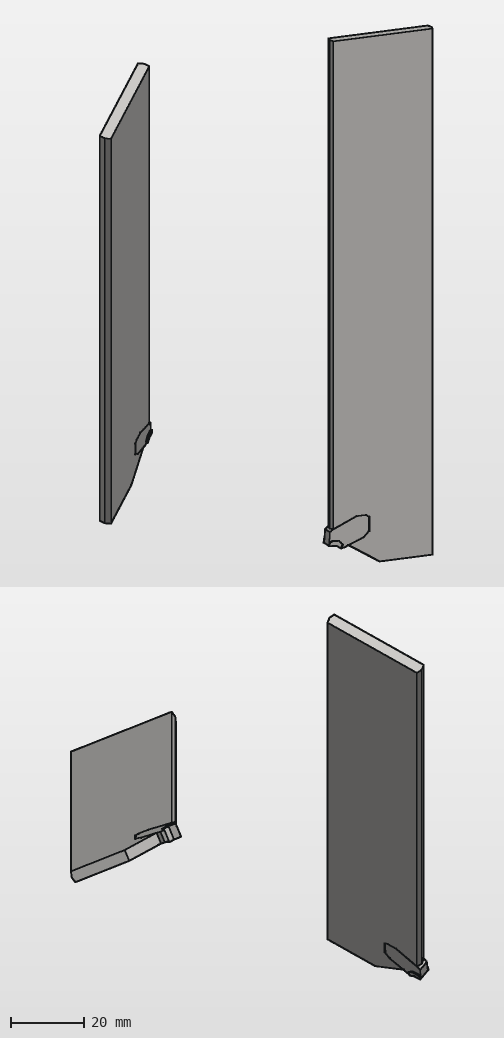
import cadquery as cq
import math

blade_length = 150.0
blade_width = 30.6
blade_thickness = 3.3
ridge_angle = 15.0
ridge_height = blade_thickness / 2 * math.tan(math.radians(ridge_angle))

relief_start = 16.4
relief_angle = 31.8
relief_rise = (blade_width - relief_start) * math.tan(math.radians(relief_angle))

tip = (31.5, 6.3)
heel = (28.0, 5.2)
belly = (26.8, 5.2)
chin = (29.4, 6.2)
insert_thickness = blade_thickness
head_thickness = 4.0
seat_gap = 0.3
insert_back = 19.6
back_bottom = 9.0
back_top = 13.2

insert_profile = [
    tip, (31.2, 10.2), (30.5, 10.8), (23.2, 13.8), (20.4, 13.8),
    (insert_back, back_top), (insert_back, back_bottom), (21.2, 7.5),
    (25.6, 5.8), belly, heel, chin,
]
head_profile = [
    tip, (31.4, 7.4), (30.5, 7.6), (28.6, 7.5), (27.5, 6.3), heel, chin,
]


def side_plate(points, thickness):
    """Extrude a (Y, Z) outline evenly to both sides of X = 0."""
    return cq.Workplane("YZ").polyline(points).close().extrude(thickness / 2, both=True)


def make_insert():
    """Insert flush with the blade, with a wider cutting head at the tip."""
    shank = side_plate(insert_profile, insert_thickness)
    head = side_plate(head_profile, head_thickness)
    return shank.union(head)


def make_blade():
    """Ridged bar with the corner relief and the insert pocket removed."""
    half = blade_thickness / 2
    section = [
        (0, 0), (half, ridge_height), (half, blade_width - ridge_height),
        (0, blade_width), (-half, blade_width - ridge_height), (-half, ridge_height),
    ]
    bar = cq.Workplane("XY").polyline(section).close().extrude(blade_length)
    relief = side_plate(
        [(relief_start, 0), (blade_width, 0), (blade_width, relief_rise)], blade_thickness
    )
    pocket = side_plate(insert_profile, blade_thickness)
    clearance = side_plate(
        [
            (insert_back, back_bottom), (insert_back, back_top),
            (insert_back - seat_gap, back_top), (insert_back - seat_gap, back_bottom),
        ],
        blade_thickness,
    )
    return bar.cut(relief).cut(pocket).cut(clearance)


blade = make_blade()
insert = make_insert()
result = cq.Compound.makeCompound([blade.val(), insert.val()])